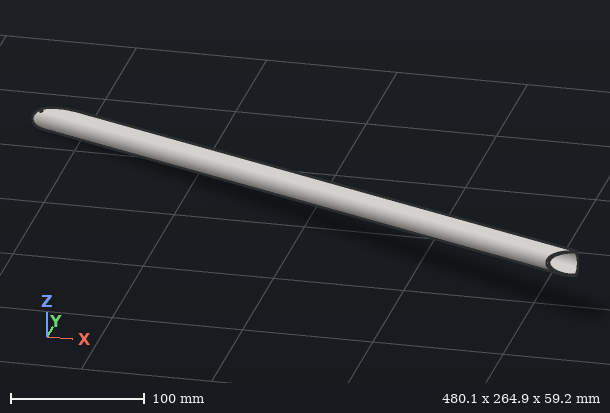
import cadquery as cq
import math

outer_diameter = 20.0
wall = 1.0
plan_angle = 30.0
rise_angle = 4.22
axis_offset = 0.95

end_cut_lean = 6.0

cope_diameter = 35.0
cope_plan_angle = 10.2
cope_rise_angle = 4.8
cope_x = -450.0
cope_lift = 0.3

stock_overrun = 120.0
cutter_length = 500.0
keep_size = 2000.0


def heading(plan_degrees, rise_degrees):
    """Unit vector turned below the X axis in plan, then raised out of the XY plane."""
    plan = math.radians(plan_degrees)
    rise = math.radians(rise_degrees)
    return cq.Vector(
        math.cos(plan) * math.cos(rise),
        -math.sin(plan) * math.cos(rise),
        math.sin(rise),
    )


tube_direction = heading(plan_angle, rise_angle)


def axis_point(x):
    """Point of the tube axis at the given X."""
    return cq.Vector(0, -axis_offset, 0) + tube_direction * (x / tube_direction.x)


def make_tube():
    """Tube stock running past both finished ends."""
    start = axis_point(cope_x - stock_overrun)
    end = axis_point(stock_overrun)
    section = cq.Plane(origin=start.toTuple(), normal=tube_direction.toTuple())
    inner_diameter = outer_diameter - 2 * wall
    ring = cq.Workplane(section).circle(outer_diameter / 2).circle(inner_diameter / 2)
    return ring.extrude((end - start).Length)


def make_end_keep():
    """Space kept by the two end cuts: behind the leaning X cut and on the +Y side of Y = 0."""
    behind_lean = (
        cq.Workplane("XY")
        .box(keep_size, keep_size, keep_size)
        .translate((-keep_size / 2, 0, 0))
        .rotate((0, 0, 0), (0, 1, 0), -end_cut_lean)
    )
    plus_y_side = cq.Workplane("XY").box(keep_size, keep_size, keep_size).translate((0, keep_size / 2, 0))
    return behind_lean.intersect(plus_y_side)


def make_cope_cutter():
    """Solid cylinder in the place of the cross tube."""
    direction = heading(cope_plan_angle, cope_rise_angle)
    level_heading = heading(cope_plan_angle, 0)
    outward = cq.Vector(-level_heading.y, level_heading.x, 0)
    centre = axis_point(cope_x) + outward * (cope_diameter / 2) + cq.Vector(0, 0, cope_lift)
    start = centre - direction * (cutter_length / 2)
    cutter = cq.Solid.makeCylinder(cope_diameter / 2, cutter_length, start, direction)
    return cq.Workplane(obj=cutter)


def largest_piece(pieces):
    """The finished tube, without the offcut left beyond the cope."""
    return cq.Workplane(obj=max(pieces.solids().vals(), key=lambda solid: solid.Volume()))


trimmed = make_tube().intersect(make_end_keep())
coped = trimmed.cut(make_cope_cutter())
result = largest_piece(coped)